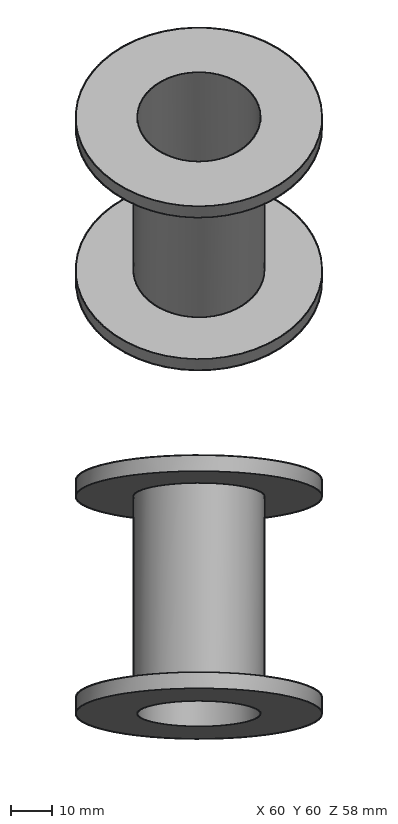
import cadquery as cq

flange_diameter = 60.0
flange_thickness = 4.0
tube_diameter = 32.0
bore_diameter = flange_diameter / 2
total_height = 58.0


def disc(diameter, height, base_z=0.0):
    """Upright solid cylinder on the Z axis, starting at base_z."""
    return cq.Workplane("XY").workplane(offset=base_z).circle(diameter / 2).extrude(height)


spool = disc(tube_diameter, total_height)
for flange_base in (0.0, total_height - flange_thickness):
    spool = spool.union(disc(flange_diameter, flange_thickness, flange_base))

result = spool.cut(disc(bore_diameter, total_height))